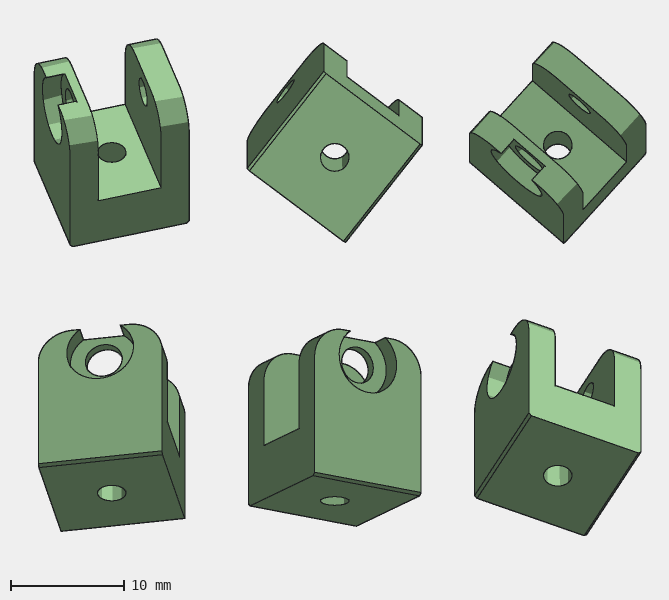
import cadquery as cq

width = 11.15
depth = 11.0
height = 14.0

slot_width = 5.8
floor_height = 5.0

ear_radius = 3.01
base_chamfer = 0.25

pin_drop = 2.4
pin_height = height - pin_drop
front_hole_diameter = 3.3
back_hole_diameter = 2.5
recess_diameter = 6.0
recess_depth = 1.72

floor_hole_diameter = 2.5


def cylinder_along_y(diameter, start_y, length):
    """Cylinder on the pin axis, running from start_y towards +Y."""
    plane = cq.Plane(origin=(0, start_y, pin_height), xDir=(1, 0, 0), normal=(0, 1, 0))
    return cq.Workplane(plane).circle(diameter / 2).extrude(length)


body = cq.Workplane("XY").box(width, depth, height, centered=(True, True, False))
body = body.faces("<Z").edges("|X").chamfer(base_chamfer)

body = body.faces(">Z").edges("|Y").fillet(ear_radius)

slot = (
    cq.Workplane("XY")
    .workplane(offset=floor_height)
    .rect(width, slot_width)
    .extrude(height - floor_height)
)
body = body.cut(slot)

front_y = -depth / 2
body = body.cut(cylinder_along_y(front_hole_diameter, front_y, depth / 2))
body = body.cut(cylinder_along_y(back_hole_diameter, 0, depth / 2))

body = body.cut(cylinder_along_y(recess_diameter, front_y, recess_depth))

floor_hole = cq.Workplane("XY").circle(floor_hole_diameter / 2).extrude(floor_height)
result = body.cut(floor_hole)